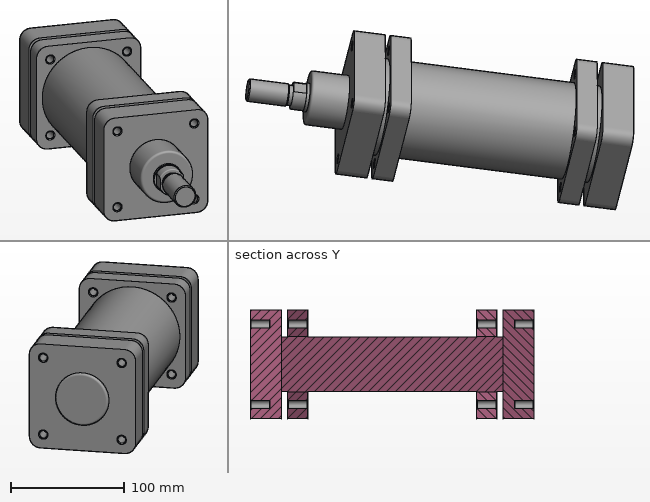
import cadquery as cq
import math

TOTAL_LENGTH = 341.0
REAR_BOSS_LENGTH = 3.5
CAP_LENGTH = 27.5
CAP_GAP = 5.0
FLANGE_LENGTH = 18.0
FLANGE_SPACING = 148.7
FRONT_BOSS_LENGTH = 33.5
SHOULDER_LENGTH = 2.7
WRENCH_LENGTH = 11.5
RELIEF_LENGTH = 3.5

BLOCK_SIDE = 96.0
CORNER_RADIUS = 10.2
HOLE_SPACING = 71.0
HOLE_DIAMETER = 6.8
HOLE_MOUTH_DIAMETER = 8.5
CAP_HOLE_DEPTH = 17.0

TUBE_DIAMETER = 86.0
BOSS_DIAMETER = 48.0
BOSS_EDGE_RADIUS = 2.0
SHOULDER_DIAMETER = 25.5
WRENCH_DIAMETER = 24.2
WRENCH_FLATS = 21.5
WRENCH_EDGE_RADIUS = 1.0
RELIEF_DIAMETER = 18.0
STUD_DIAMETER = 20.0
STUD_CHAMFER = 1.0

rear_cap_x = REAR_BOSS_LENGTH
tube_start_x = rear_cap_x + CAP_LENGTH
rear_flange_x = tube_start_x + CAP_GAP
front_flange_x = rear_flange_x + FLANGE_LENGTH + FLANGE_SPACING
tube_end_x = front_flange_x + FLANGE_LENGTH + CAP_GAP
front_boss_x = tube_end_x + CAP_LENGTH
shoulder_x = front_boss_x + FRONT_BOSS_LENGTH
wrench_x = shoulder_x + SHOULDER_LENGTH
relief_x = wrench_x + WRENCH_LENGTH
stud_x = relief_x + RELIEF_LENGTH


def section_plane(x):
    """Cross-section plane at station x, facing +X."""
    return cq.Workplane("YZ", origin=(x, 0, 0))


def cylinder(x, length, diameter):
    """Round bar on the cylinder axis."""
    return section_plane(x).circle(diameter / 2).extrude(length)


def square_block(x, length):
    """Square block with rounded corners along the cylinder axis."""
    return section_plane(x).rect(BLOCK_SIDE, BLOCK_SIDE).extrude(length).edges("|X").fillet(CORNER_RADIUS)


def corner_holes(x, depth):
    """Cutter for four corner holes from station x; the chamfered mouth is at x, and depth is signed."""
    mouth_chamfer = (HOLE_MOUTH_DIAMETER - HOLE_DIAMETER) / 2
    centers = section_plane(x).rect(HOLE_SPACING, HOLE_SPACING, forConstruction=True).vertices()
    bores = centers.circle(HOLE_DIAMETER / 2).extrude(depth)
    mouth_length = math.copysign(mouth_chamfer, depth)
    mouths = centers.circle(HOLE_MOUTH_DIAMETER / 2).extrude(mouth_length, taper=45)
    return bores.union(mouths)


def make_rear_cap():
    """Rear cap with a low round-edged boss and blind corner holes in its outer face."""
    boss = cylinder(0, REAR_BOSS_LENGTH, BOSS_DIAMETER).faces("<X").fillet(BOSS_EDGE_RADIUS)
    holes = corner_holes(rear_cap_x, CAP_HOLE_DEPTH)
    return square_block(rear_cap_x, CAP_LENGTH).union(boss).cut(holes)


def make_front_cap():
    """Front cap with a round-edged boss, blind corner holes in its outer face and a bore for the rod."""
    boss = cylinder(front_boss_x, FRONT_BOSS_LENGTH, BOSS_DIAMETER).faces(">X").fillet(BOSS_EDGE_RADIUS)
    holes = corner_holes(front_boss_x, -CAP_HOLE_DEPTH)
    rod_bore = cylinder(tube_end_x, shoulder_x - tube_end_x, SHOULDER_DIAMETER)
    return square_block(tube_end_x, CAP_LENGTH).union(boss).cut(holes).cut(rod_bore)


def make_flange(x):
    """Square flange around the tube, with through holes chamfered at both faces."""
    holes = corner_holes(x, FLANGE_LENGTH).union(corner_holes(x + FLANGE_LENGTH, -FLANGE_LENGTH))
    tube_bore = cylinder(x, FLANGE_LENGTH, TUBE_DIAMETER)
    return square_block(x, FLANGE_LENGTH).cut(holes).cut(tube_bore)


def make_tube():
    """Cylinder barrel between the two caps."""
    return cylinder(tube_start_x, tube_end_x - tube_start_x, TUBE_DIAMETER)


def make_rod():
    """Piston rod with a wrench section with two flats, a relief groove and an end stud."""
    shank = cylinder(tube_end_x, wrench_x - tube_end_x, SHOULDER_DIAMETER)
    wrench = cylinder(wrench_x, WRENCH_LENGTH, WRENCH_DIAMETER).faces(">X").fillet(WRENCH_EDGE_RADIUS)
    flats = section_plane(wrench_x).rect(WRENCH_FLATS, WRENCH_DIAMETER).extrude(WRENCH_LENGTH)
    relief = cylinder(relief_x, RELIEF_LENGTH, RELIEF_DIAMETER)
    stud = cylinder(stud_x, TOTAL_LENGTH - stud_x, STUD_DIAMETER).faces("<X or >X").chamfer(STUD_CHAMFER)
    return shank.union(wrench.intersect(flats)).union(relief).union(stud)


rear_cap = make_rear_cap()
front_cap = make_front_cap()
flanges = [make_flange(x) for x in (rear_flange_x, front_flange_x)]
tube = make_tube()
rod = make_rod()

result = cq.Compound.makeCompound(
    [rear_cap.val(), front_cap.val(), *[flange.val() for flange in flanges], tube.val(), rod.val()]
)